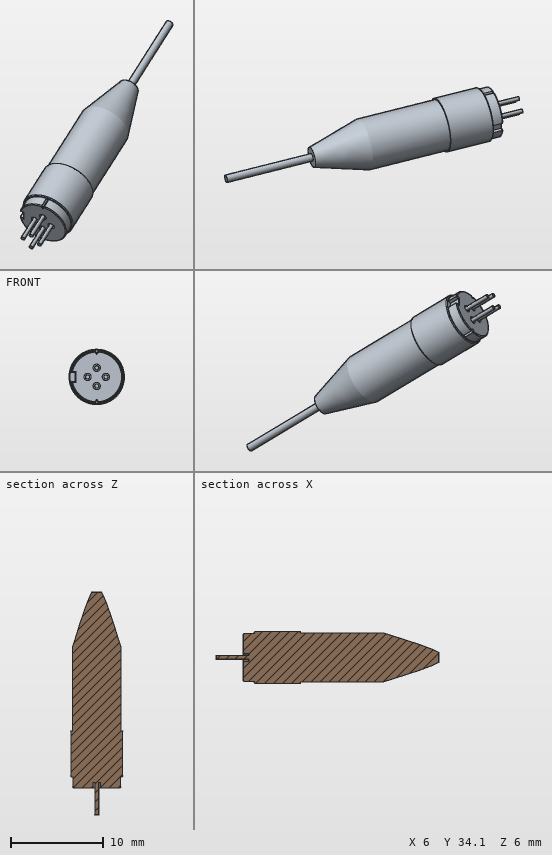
import cadquery as cq

total_length = 34.1
cable_length = 10.0
cone_length = 6.0
body_length = 9.0
collar_length = 5.0
nose_length = 1.2

cable_diameter = 0.85
cone_tip_diameter = 2.25
body_diameter = 5.7
collar_diameter = 6.0
nose_diameter = 5.6
pin_diameter = 0.45
pin_hole_diameter = 0.8

edge_chamfer = 0.1
pin_offset = 1.0
pin_hole_depth = 0.5 * nose_length
key_width = 1.0
key_floor_radius = 2.35
groove_width = 0.3
groove_bottom_radius = 2.6

cone_tip_y = total_length - cable_length
cone_base_y = cone_tip_y - cone_length
collar_back_y = cone_base_y - body_length
collar_front_y = collar_back_y - collar_length
face_y = collar_front_y - nose_length


def cylinder(diameter, start_y, end_y, x=0, z=0):
    """Cylinder parallel to Y between two axial stations."""
    return (
        cq.Workplane("XZ", origin=(x, start_y, z))
        .circle(diameter / 2)
        .extrude(start_y - end_y)
    )


def make_housing():
    """Cable, strain-relief cone, body, collar and nose turned about Y."""
    profile = [
        (0, face_y),
        (nose_diameter / 2, face_y),
        (nose_diameter / 2, collar_front_y),
        (collar_diameter / 2 - edge_chamfer, collar_front_y),
        (collar_diameter / 2, collar_front_y + edge_chamfer),
        (collar_diameter / 2, collar_back_y),
        (body_diameter / 2, collar_back_y),
        (body_diameter / 2, cone_base_y),
        (cone_tip_diameter / 2, cone_tip_y),
        (cable_diameter / 2, cone_tip_y),
        (cable_diameter / 2, total_length),
        (0, total_length),
    ]
    return cq.Workplane("XY").polyline(profile).close().revolve(360, (0, 0), (0, 1))


def key_slot():
    """Cutter for the flat-floored key slot on the -X side of the nose."""
    depth = nose_diameter / 2 - key_floor_radius
    return (
        cq.Workplane("XY", origin=(-nose_diameter / 2, face_y, 0))
        .box(depth, nose_length, key_width, centered=(False, False, True))
    )


def v_groove(side):
    """Cutter for a V groove along the top (side 1) or bottom (side -1) of the nose."""
    mouth_z = side * nose_diameter / 2
    bottom_z = side * groove_bottom_radius
    return (
        cq.Workplane("XZ", origin=(0, face_y, 0))
        .polyline([(-groove_width / 2, mouth_z), (groove_width / 2, mouth_z), (0, bottom_z)])
        .close()
        .extrude(-nose_length)
    )


result = make_housing()

result = result.cut(key_slot())
for groove_side in (1, -1):
    result = result.cut(v_groove(groove_side))

result = result.faces("<Y").edges().chamfer(edge_chamfer)

pin_hole_floor_y = face_y + pin_hole_depth
for x, z in [(pin_offset, 0), (-pin_offset, 0), (0, pin_offset), (0, -pin_offset)]:
    result = result.cut(cylinder(pin_hole_diameter, face_y, pin_hole_floor_y, x, z))
    result = result.union(cylinder(pin_diameter, 0, pin_hole_floor_y, x, z))

result = result.translate((0, -total_length / 2, 0))